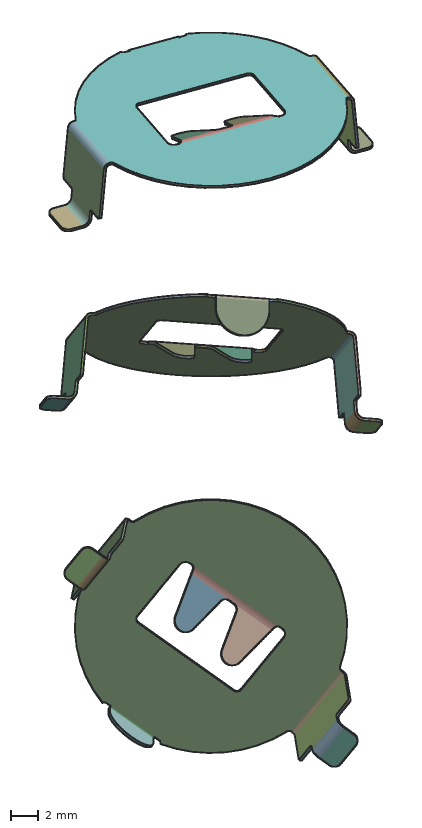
import cadquery as cq
import math

sheet = 0.2
overlap = sheet

plate_radius = 9.92
window_width = 6.0
window_length = 9.5
window_corner = 0.38

total_length = 25.17
total_height = 6.25
leg_width = window_width
leg_angle = 5.0
leg_bend_start = 9.65
leg_bend_radius = 0.5
leg_root_fillet = 0.25
shoulder_depth = 4.78
shoulder_fillet = 0.2
foot_width = leg_width / 2
foot_corner = 0.6

tab_width = 4.0
tab_depth = 3.0
tab_reach = 9.7
tab_bend_radius = 0.3
relief_gap = 0.65
relief_corner = 0.25

claw_angle = 30.0
claw_taper = 12.0
claw_bend_radius = 1.2
claw_length = 3.95
claw_offset = 2.15
claw_tip_half_width = 0.68
claw_tip_radius = 0.83
claw_fillet = 0.5


def tan_deg(angle):
    return math.tan(math.radians(angle))


def unit(start, end):
    return (end - start).normalized()


def rounded_outline(plane, corners):
    """Closed outline through (u, v, radius) corners; a zero radius stays sharp."""
    points = [cq.Vector(u, v) for u, v, _ in corners]
    outline = cq.Workplane(plane)
    for i, (_, _, radius) in enumerate(corners):
        corner = points[i]
        back = unit(corner, points[i - 1])
        ahead = unit(corner, points[(i + 1) % len(points)])
        half_angle = back.getAngle(ahead) / 2
        trim = radius / math.tan(half_angle)
        entry = corner + back * trim
        go_to = outline.moveTo if i == 0 else outline.lineTo
        outline = go_to(entry.x, entry.y)
        if radius > 0:
            leave = corner + ahead * trim
            middle = corner + (back + ahead).normalized() * (radius / math.sin(half_angle) - radius)
            outline = outline.threePointArc((middle.x, middle.y), (leave.x, leave.y))
    return outline.close()


def bent_strip(plane, path, width):
    """Sheet strip below an upper-side path of (u, v, bend radius) corners, centred on the plane."""
    points = [cq.Vector(u, v) for u, v, _ in path]
    lower = []
    for i, (_, _, radius) in enumerate(path):
        before = unit(points[max(i - 1, 0)], points[max(i, 1)])
        after = unit(points[min(i, len(path) - 2)], points[min(i + 1, len(path) - 1)])
        bisector = before + after
        miter = cq.Vector(bisector.y, -bisector.x) * (sheet / (1 + before.dot(after)))
        bends_down = before.cross(after).z < 0
        lower_radius = radius - sheet if bends_down else radius + sheet
        point = points[i] + miter
        lower.append((point.x, point.y, lower_radius if radius > 0 else 0))
    return rounded_outline(plane, path + lower[::-1]).extrude(width / 2, both=True)


toward_minus_x = cq.Plane(origin=(0, 0, 0), xDir=(-1, 0, 0), normal=(0, 1, 0))
tab_bend_start = tab_reach - tab_bend_radius


def make_plate():
    plate = cq.Workplane("XY").circle(plate_radius).extrude(-sheet)
    leg_roots = cq.Workplane("XY").rect(leg_width, 2 * leg_bend_start).extrude(-sheet)
    between_bends = cq.Workplane("XY").box(2 * plate_radius, 2 * leg_bend_start, 2 * sheet)
    plate = plate.intersect(between_bends).union(leg_roots)
    corner_y = math.sqrt(plate_radius**2 - (leg_width / 2) ** 2)
    for x in (-leg_width / 2, leg_width / 2):
        for y in (-corner_y, corner_y):
            corner = cq.selectors.NearestToPointSelector((x, y, -sheet / 2))
            plate = plate.edges(corner).fillet(leg_root_fillet)

    window = cq.Workplane("XY").rect(window_width, window_length).extrude(-sheet)
    window = window.edges("|Z and <X").fillet(window_corner)
    window = window.edges("|Z and >X").fillet(claw_fillet)

    relief_depth = plate_radius - tab_bend_start
    relief = cq.Workplane("XY").box(2 * relief_depth, tab_width + 2 * relief_gap, 2 * sheet)
    relief = relief.edges("|Z and >X").fillet(relief_corner)
    relief = relief.translate((-plate_radius, 0, 0))
    return plate.cut(window).cut(relief)


def make_leg():
    knee_y = leg_bend_start + leg_bend_radius * tan_deg((90 - leg_angle) / 2)
    foot_top = sheet - total_height
    ankle_y = knee_y - foot_top * tan_deg(leg_angle)
    foot_end = total_length / 2
    path = [
        (leg_bend_start - overlap, 0, 0),
        (knee_y, 0, leg_bend_radius),
        (ankle_y, foot_top, leg_bend_radius),
        (foot_end, foot_top, 0),
    ]
    strip = bent_strip(cq.Plane.YZ(), path, leg_width)
    half = leg_width / 2
    half_foot = foot_width / 2
    face = [
        (-half, 0, 0),
        (half, 0, 0),
        (half, -shoulder_depth, shoulder_fillet),
        (half_foot, -shoulder_depth, shoulder_fillet),
        (half_foot, -total_height, 0),
        (-half_foot, -total_height, 0),
        (-half_foot, -shoulder_depth, shoulder_fillet),
        (-half, -shoulder_depth, shoulder_fillet),
    ]
    leg = strip.intersect(rounded_outline(cq.Plane.XZ(), face).extrude(-total_length))
    return leg.edges("|Z and >Y").fillet(foot_corner)


def make_tab():
    path = [
        (tab_bend_start - overlap, 0, 0),
        (tab_reach, 0, tab_bend_radius),
        (tab_reach, -tab_depth, 0),
    ]
    half = tab_width / 2
    round_start = half - tab_depth
    face = (
        cq.Workplane("YZ")
        .moveTo(-half, 0)
        .lineTo(half, 0)
        .lineTo(half, round_start)
        .threePointArc((0, -tab_depth), (-half, round_start))
        .close()
        .extrude(-2 * tab_reach)
    )
    return bent_strip(toward_minus_x, path, tab_width).intersect(face)


def make_claws():
    slope = math.radians(claw_angle)
    bend_start = -window_width / 2
    bend_corner = bend_start + claw_bend_radius * math.tan(slope / 2)
    flat_start = bend_start + claw_bend_radius * math.sin(slope)
    flat_start_z = -claw_bend_radius * (1 - math.cos(slope))
    tip = flat_start + claw_length * math.cos(slope)
    tip_z = flat_start_z - claw_length * math.sin(slope)
    path = [
        (bend_start - overlap, 0, 0),
        (bend_corner, 0, claw_bend_radius),
        (tip, tip_z, 0),
    ]
    strip = bent_strip(toward_minus_x, path, window_length)

    slope_plane = cq.Plane(
        origin=(-flat_start, 0, flat_start_z),
        xDir=(-math.cos(slope), 0, -math.sin(slope)),
        normal=(-math.sin(slope), 0, math.cos(slope)),
    )
    root = -claw_bend_radius * math.sin(slope)
    behind_root = 2 * root

    def half_width(u):
        return claw_tip_half_width + (claw_length - u) * tan_deg(claw_taper)

    upper_half = [
        (0, claw_offset - half_width(0), claw_fillet),
        (claw_length, claw_offset - claw_tip_half_width, claw_tip_radius),
        (claw_length, claw_offset + claw_tip_half_width, claw_tip_radius),
        (root, claw_offset + half_width(root), claw_fillet),
        (root, window_length / 2, 0),
        (behind_root, window_length / 2, 0),
    ]
    lower_half = [(u, -v, radius) for u, v, radius in reversed(upper_half)]
    blank = rounded_outline(slope_plane, upper_half + lower_half).extrude(claw_bend_radius, both=True)
    return strip.intersect(blank)


leg = make_leg()
result = (
    make_plate()
    .union(leg)
    .union(leg.mirror("XZ"))
    .union(make_tab())
    .union(make_claws())
)